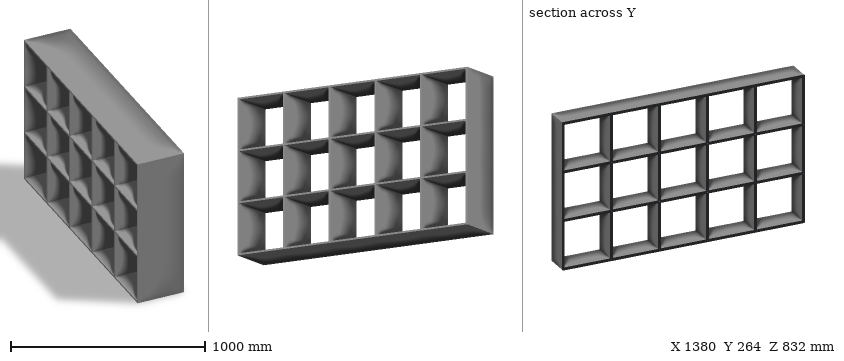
import cadquery as cq

width = 1380.0
board = 10.0
columns = 5
rows = 3

cell = (width - (columns + 1) * board) / columns
pitch = cell + board
depth = cell
height = rows * pitch + board

block = cq.Workplane("XY").box(width, depth, height)

openings = (
    cq.Workplane("XZ")
    .rarray(pitch, pitch, columns, rows)
    .rect(cell, cell)
    .extrude(depth, both=True)
)

result = block.cut(openings)